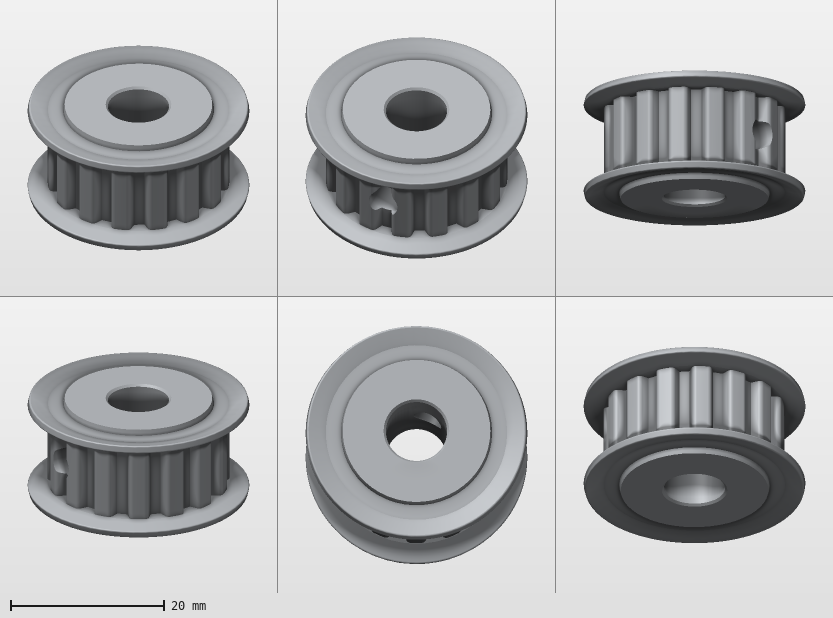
import cadquery as cq
import math

outer_diameter = 28.95
total_height = 13.65

tooth_count = 15
tip_radius = 11.87
groove_depth = 1.4
groove_floor_width = 1.33
groove_flank_angle = 25.0
tooth_edge_radius = 0.6
barrel_height = 10.15
first_groove_angle = -88.0

flange_thickness = 0.98
flange_angle = 13.5
flange_bend_radius = 11.85
flange_edge_radius = 0.2

hub_top_radius = 9.65
hub_base_radius = 9.88

bore_diameter = 8.0
bore_chamfer = 0.3

screw_hole_diameter = 4.0
screw_groove_index = 7

groove_pitch_angle = 360.0 / tooth_count
half_height = total_height / 2
barrel_top = barrel_height / 2
flange_face = barrel_top + flange_thickness
cutter_margin = 0.58


def make_barrel():
    """Toothed cylinder with straight-sided grooves and rounded tooth edges."""
    barrel = cq.Workplane("XY").circle(tip_radius).extrude(barrel_top, both=True)
    floor_radius = tip_radius - groove_depth
    cutter_end = tip_radius + cutter_margin
    half_floor = groove_floor_width / 2
    half_mouth = half_floor + (cutter_end - floor_radius) * math.tan(math.radians(groove_flank_angle))
    groove = (
        cq.Workplane("XY")
        .polyline([
            (floor_radius, -half_floor),
            (cutter_end, -half_mouth),
            (cutter_end, half_mouth),
            (floor_radius, half_floor),
        ])
        .close()
        .extrude(barrel_top, both=True)
    )
    for i in range(tooth_count):
        angle = first_groove_angle + i * groove_pitch_angle
        barrel = barrel.cut(groove.rotate((0, 0, 0), (0, 0, 1), angle))

    tip_edges = [
        edge for edge in barrel.edges("|Z").vals()
        if math.hypot(edge.Center().x, edge.Center().y) > tip_radius - groove_depth / 2
    ]
    return barrel.newObject(tip_edges).fillet(tooth_edge_radius)


def make_flange():
    """Upper flange: a flat ring whose rim is bent upwards, with rounded edges."""
    slope = math.radians(flange_angle)
    lower_bend = flange_bend_radius + flange_thickness * math.tan(slope / 2)
    corner_excess = flange_edge_radius * (math.cos(slope) + math.sin(slope) - 1)
    lower_corner_radius = outer_diameter / 2 + corner_excess
    lower_corner_z = barrel_top + (lower_corner_radius - lower_bend) * math.tan(slope)
    upper_corner_radius = lower_corner_radius - flange_thickness * math.sin(slope)
    upper_corner_z = lower_corner_z + flange_thickness * math.cos(slope)
    flange = (
        cq.Workplane("XZ")
        .polyline([
            (0, barrel_top),
            (lower_bend, barrel_top),
            (lower_corner_radius, lower_corner_z),
            (upper_corner_radius, upper_corner_z),
            (flange_bend_radius, flange_face),
            (0, flange_face),
        ])
        .close()
        .revolve(360, (0, 0, 0), (0, 1, 0))
    )
    rim_edges = [
        edge for edge in flange.edges("%CIRCLE").vals()
        if edge.radius() > (flange_bend_radius + outer_diameter / 2) / 2
    ]
    return flange.newObject(rim_edges).fillet(flange_edge_radius)


def make_hub():
    """Upper tapered hub face."""
    return (
        cq.Workplane("XZ")
        .polyline([
            (0, flange_face),
            (hub_base_radius, flange_face),
            (hub_top_radius, half_height),
            (0, half_height),
        ])
        .close()
        .revolve(360, (0, 0, 0), (0, 1, 0))
    )


def make_bore_cutter():
    """Through bore with a chamfer at both ends."""
    bore_radius = bore_diameter / 2
    mouth_radius = bore_radius + bore_chamfer
    return (
        cq.Workplane("XZ")
        .polyline([
            (0, -half_height),
            (mouth_radius, -half_height),
            (bore_radius, -half_height + bore_chamfer),
            (bore_radius, half_height - bore_chamfer),
            (mouth_radius, half_height),
            (0, half_height),
        ])
        .close()
        .revolve(360, (0, 0, 0), (0, 1, 0))
    )


def make_screw_hole_cutter():
    """Radial hole on one side only, centred on a groove."""
    angle = first_groove_angle + screw_groove_index * groove_pitch_angle
    return (
        cq.Workplane("YZ")
        .circle(screw_hole_diameter / 2)
        .extrude(tip_radius + cutter_margin)
        .rotate((0, 0, 0), (0, 0, 1), angle)
    )


end_cap = make_flange().union(make_hub())
pulley = make_barrel().union(end_cap).union(end_cap.mirror("XY"))
result = pulley.cut(make_bore_cutter()).cut(make_screw_hole_cutter())